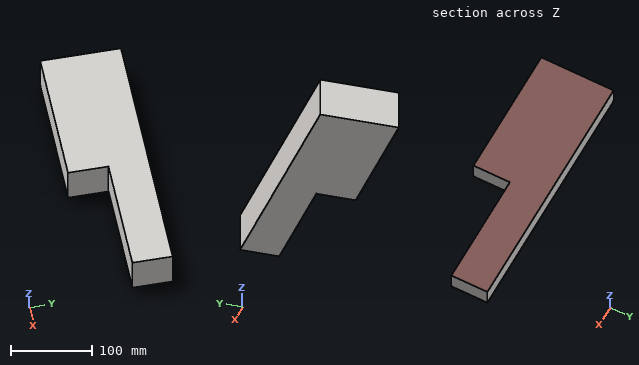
import cadquery as cq

length = 330.2
height = 51.0
arm_width = 51.0
body_width = 2 * arm_width

body_length = 177.5

body = cq.Workplane("XY").box(body_length, body_width, height, centered=False)

arm = (
    cq.Workplane("XY")
    .box(length, arm_width, height, centered=False)
    .translate((0, body_width - arm_width, 0))
)

result = body.union(arm).clean()